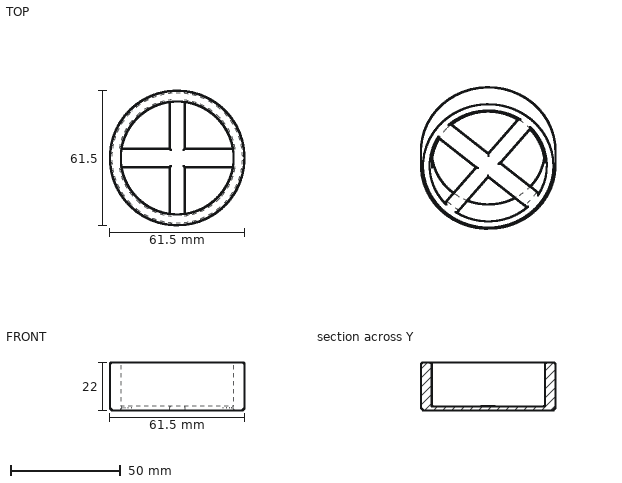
import cadquery as cq
import math

outer_diameter = 61.5
inner_diameter = 51.5
ring_height = 22.0
rim_round = 1.0
foot_chamfer = 1.0
foot_round = 1.0

x_bar_width = 8.5
y_bar_width = 7.0
bar_thickness = 2.0
bar_round = 0.7

outer_radius = outer_diameter / 2
inner_radius = inner_diameter / 2

foot_turn = math.radians(45)
foot_tangent = foot_round * math.tan(foot_turn / 2)
foot_wall_height = foot_chamfer + foot_tangent
foot_blend_height = foot_chamfer - foot_tangent * math.sin(foot_turn)
foot_blend_inset = foot_tangent * math.cos(foot_turn)
foot_mid_height = foot_wall_height - foot_round * math.sin(foot_turn / 2)
foot_mid_inset = foot_round * (1 - math.cos(foot_turn / 2))


def make_ring():
    """Ring with rounded upper rims and chamfered feet blended into both walls."""
    profile = (
        cq.Workplane("XZ")
        .moveTo(inner_radius + foot_chamfer, 0)
        .lineTo(outer_radius - foot_chamfer, 0)
        .lineTo(outer_radius - foot_blend_inset, foot_blend_height)
        .threePointArc((outer_radius - foot_mid_inset, foot_mid_height), (outer_radius, foot_wall_height))
        .lineTo(outer_radius, ring_height)
        .lineTo(inner_radius, ring_height)
        .lineTo(inner_radius, foot_wall_height)
        .threePointArc(
            (inner_radius + foot_mid_inset, foot_mid_height),
            (inner_radius + foot_blend_inset, foot_blend_height),
        )
        .close()
    )
    ring = profile.revolve(360, (0, 0, 0), (0, 1, 0))
    return ring.faces(">Z").edges().fillet(rim_round)


def make_cross():
    """Two crossed bars with rounded long edges, ending inside the ring wall."""
    bar_length = inner_radius + outer_radius
    x_bar = cq.Workplane("XY").rect(bar_length, x_bar_width).extrude(bar_thickness)
    y_bar = cq.Workplane("XY").rect(y_bar_width, bar_length).extrude(bar_thickness)
    cross = x_bar.union(y_bar)
    return cross.faces("<Z or >Z").edges().fillet(bar_round)


result = make_ring().union(make_cross())